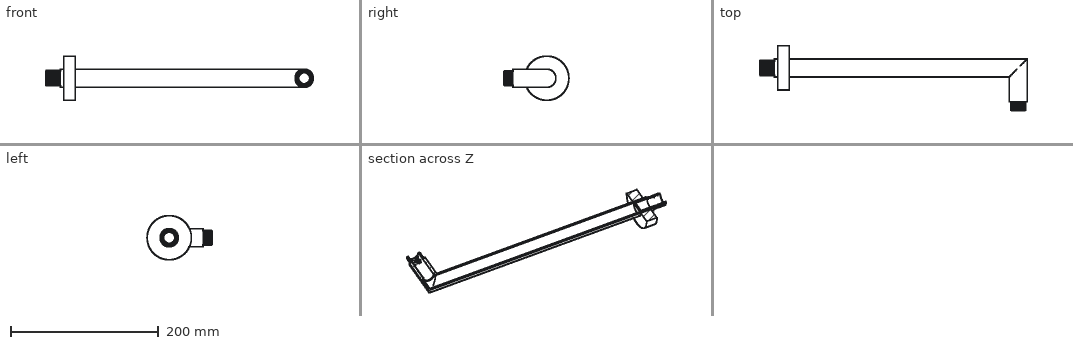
import cadquery as cq

total_length = 362.0
arm_diameter = 24.5
arm_bore_diameter = 17.7
arm_radius = arm_diameter / 2
bend_x = total_length - arm_radius

flange_diameter = 60.0
flange_start = 24.3
flange_thickness = 16.0

thread_pitch = 1.8
thread_depth = 1.0

inlet_thread_diameter = 21.0
inlet_thread_length = 20.0
inlet_bore_diameter = 15.2
inlet_socket_depth = 20.3
inlet_end_wall = 3.0

outlet_thread_diameter = 20.3
outlet_thread_length = 12.0
outlet_bore_diameter = 15.0
outlet_end = 58.0
outlet_leg_length = outlet_end - outlet_thread_length


def rod_x(start, end, diameter):
    """Solid cylinder on the X axis."""
    return cq.Workplane("YZ", origin=(start, 0, 0)).circle(diameter / 2).extrude(end - start)


def rod_y(start, end, diameter):
    """Solid cylinder in the outlet leg, from start to end measured towards -Y."""
    return cq.Workplane("XZ", origin=(bend_x, start, 0)).circle(diameter / 2).extrude(end - start)


def threaded_rod(length, diameter):
    """Rod along +X from the origin, with V-shaped ring ridges standing for a thread."""
    thread_radius = diameter / 2
    root_radius = thread_radius - thread_depth
    ridge_count = round(length / thread_pitch)
    pitch = length / ridge_count
    profile = cq.Workplane("XY").lineTo(0, root_radius)
    for ridge in range(ridge_count):
        profile = profile.lineTo((ridge + 0.5) * pitch, thread_radius)
        profile = profile.lineTo((ridge + 1) * pitch, root_radius)
    return profile.lineTo(length, 0).close().revolve(360, (0, 0, 0), (1, 0, 0))


def mitred_elbow(start, leg_end, diameter):
    """Round rod along X, then along -Y, meeting in a 45 degree mitre."""
    path = cq.Workplane("XY").moveTo(start, 0).lineTo(bend_x, 0).lineTo(bend_x, -leg_end)
    section = cq.Workplane("YZ", origin=(start, 0, 0)).circle(diameter / 2)
    return section.sweep(path, transition="right")


def make_arm():
    """Hollow mitred arm with an integral threaded outlet."""
    outlet = (
        threaded_rod(outlet_thread_length, outlet_thread_diameter)
        .rotate((0, 0, 0), (0, 0, 1), -90)
        .translate((bend_x, -outlet_leg_length, 0))
    )
    arm = mitred_elbow(inlet_thread_length, outlet_leg_length, arm_diameter).union(outlet)
    arm = arm.cut(mitred_elbow(inlet_thread_length, arm_radius, arm_bore_diameter))
    return arm.cut(rod_y(0, outlet_end, outlet_bore_diameter))


def make_inlet_nipple():
    """Threaded nipple plugged into the arm, with a blind bore."""
    inner_end = inlet_thread_length + inlet_socket_depth
    spigot = rod_x(inlet_thread_length, inner_end, arm_bore_diameter)
    nipple = threaded_rod(inlet_thread_length, inlet_thread_diameter).union(spigot)
    return nipple.cut(rod_x(0, inner_end - inlet_end_wall, inlet_bore_diameter))


def make_flange():
    """Round wall flange that the arm passes through."""
    flange_end = flange_start + flange_thickness
    disc = rod_x(flange_start, flange_end, flange_diameter)
    return disc.cut(rod_x(flange_start, flange_end, arm_diameter))


arm = make_arm()
inlet_nipple = make_inlet_nipple()
flange = make_flange()

result = cq.Compound.makeCompound([arm.val(), inlet_nipple.val(), flange.val()])